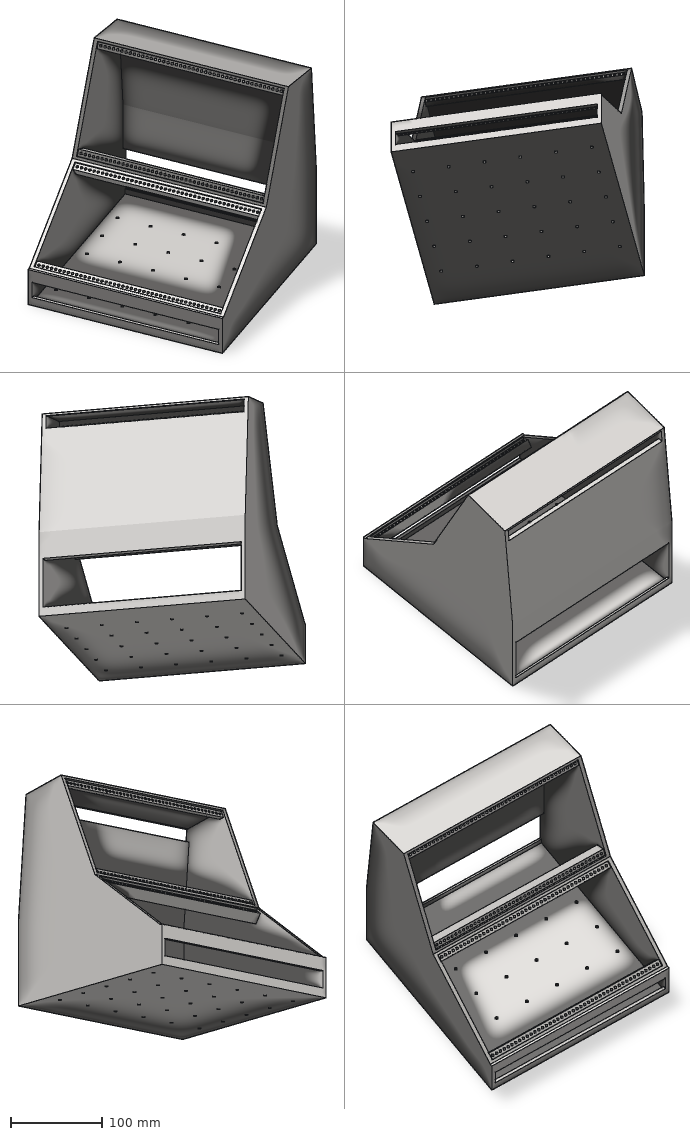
import cadquery as cq
import math

width = 235.2
depth = 245.4
height = 247.5
side_thickness = 4.7
wall = 2.5
inner_width = width - 2 * side_thickness

panel_length = 136.5
lower_angle = 35.0
upper_angle = 65.0
front_ledge = 3.0

top_back_y = 232.5
top_slope = 10.0
back_kink_z = 96.5

base_thickness = 3.7
lower_back_thickness = 8.0
upper_back_thickness = 5.5

lip = 3.2
rail_end = 11.5
rail_depth = 10.0
top_rail_depth = 6.2
middle_rail_depth = 12.9
rail_hole_diameter = 2.7
rail_hole_offset = 7.2
rail_hole_count = 44
rail_hole_span = 218.4

slot_bottom = 10.5
front_slot_top = 30.2
back_slot_top = 66.4
vent_bottom = 219.5

floor_hole_diameter = 3.2
floor_hole_span = 200.0
floor_columns = 6
floor_hole_pitch = floor_hole_span / (floor_columns - 1)
floor_rows = 5
floor_first_y = 35.5


def direction(angle):
    """Unit (y, z) vector rising towards the back at an angle in degrees."""
    return math.cos(math.radians(angle)), math.sin(math.radians(angle))


def along(start, angle, distance):
    """Point in the Y-Z plane at a distance from start along an angle."""
    y_step, z_step = direction(angle)
    return start[0] + distance * y_step, start[1] + distance * z_step


def prism(points, prism_width):
    """Y-Z polygon extruded along X, centred on X = 0."""
    return cq.Workplane("YZ").polyline(points).close().extrude(prism_width / 2, both=True)


def slot(y_min, y_max, z_min, z_max):
    """Rectangular block across the interior width."""
    return prism([(y_min, z_min), (y_max, z_min), (y_max, z_max), (y_min, z_max)], inner_width)


panel_rise = panel_length * (direction(lower_angle)[1] + direction(upper_angle)[1])
lower_start = (front_ledge, height - panel_rise)
knee = along(lower_start, lower_angle, panel_length)
peak = along(knee, upper_angle, panel_length)
top_back_z = height - (top_back_y - peak[0]) * math.tan(math.radians(top_slope))
outline = [
    (0, 0),
    (0, lower_start[1]),
    lower_start,
    knee,
    peak,
    (top_back_y, top_back_z),
    (depth, back_kink_z),
    (depth, 0),
]


def panel_point(start, angle, distance, inset):
    """Point at a distance along a sloped panel, sunk inwards by inset."""
    return along(along(start, angle, distance), angle - 90, inset)


def shell():
    """Hollow case with both sloped panels opened between their lips."""
    cavity = (
        cq.Workplane("YZ").polyline(outline).close().offset2D(-wall, "intersection")
        .extrude(inner_width / 2, both=True)
    )
    body = prism(outline, width).cut(cavity)
    for start, angle in ((lower_start, lower_angle), (knee, upper_angle)):
        opening = [
            panel_point(start, angle, lip, -wall),
            panel_point(start, angle, lip, wall),
            panel_point(start, angle, panel_length / 2, 2 * wall),
            panel_point(start, angle, panel_length - lip, wall),
            panel_point(start, angle, panel_length - lip, -wall),
        ]
        body = body.cut(prism(opening, inner_width))
    return body


def base():
    """Floor and front wall."""
    front_wall = slot(0, base_thickness, 0, lower_start[1])
    return slot(0, depth, 0, base_thickness).union(front_wall)


def back_panel():
    """Panel between the back slot and the vent, upright below and leaning forward above."""
    lean = (depth - top_back_y) / (top_back_z - back_kink_z)
    vent_y = depth - lean * (vent_bottom - back_kink_z)
    upright_y = depth - lower_back_thickness
    inner_vent_y = vent_y - upper_back_thickness
    inner_kink_z = vent_bottom - (upright_y - inner_vent_y) / lean
    return prism(
        [
            (depth, back_slot_top),
            (depth, back_kink_z),
            (vent_y, vent_bottom),
            (inner_vent_y, vent_bottom),
            (upright_y, inner_kink_z),
            (upright_y, back_slot_top),
        ],
        inner_width,
    )


def front_rail():
    return prism(
        [
            panel_point(lower_start, lower_angle, 0, wall),
            panel_point(lower_start, lower_angle, rail_end, wall),
            panel_point(lower_start, lower_angle, rail_end, wall + rail_depth),
            panel_point(lower_start, lower_angle, 0, wall + rail_depth),
        ],
        inner_width,
    )


def middle_rail():
    """Double rail that wraps the knee between the two openings."""
    deep = wall + middle_rail_depth
    return prism(
        [
            panel_point(lower_start, lower_angle, panel_length - rail_end, wall),
            panel_point(lower_start, lower_angle, panel_length, wall),
            knee,
            panel_point(knee, upper_angle, 0, wall),
            panel_point(knee, upper_angle, rail_end, wall),
            panel_point(knee, upper_angle, rail_end, deep),
            panel_point(lower_start, lower_angle, panel_length - rail_end, deep),
        ],
        inner_width,
    )


def top_rail():
    """Rail under the top cover, its underside parallel to the cover."""
    upper = panel_point(knee, upper_angle, panel_length, wall)
    lower = panel_point(knee, upper_angle, panel_length - rail_end, wall)
    upper_back = along(upper, -top_slope, top_rail_depth)
    lower_back = along(lower, -top_slope, top_rail_depth)
    return prism([lower, upper, upper_back, lower_back], inner_width)


def rail_holes(start, angle, distance):
    """Row of screw holes square to a sloped panel."""
    y, z = panel_point(start, angle, distance, wall)
    inward = direction(angle - 90)
    pitch = rail_hole_span / (rail_hole_count - 1)
    holes = [
        cq.Solid.makeCylinder(
            rail_hole_diameter / 2,
            rail_depth,
            cq.Vector(-rail_hole_span / 2 + i * pitch, y, z),
            cq.Vector(0, *inward),
        )
        for i in range(rail_hole_count)
    ]
    return cq.Workplane(obj=cq.Compound.makeCompound(holes))


def floor_holes():
    points = [
        (floor_hole_pitch * (i - (floor_columns - 1) / 2), floor_first_y + floor_hole_pitch * j)
        for i in range(floor_columns)
        for j in range(floor_rows)
    ]
    return cq.Workplane("XY").pushPoints(points).circle(floor_hole_diameter / 2).extrude(base_thickness)


result = shell()
for piece in (base(), front_rail(), middle_rail(), top_rail()):
    result = result.union(piece)

result = result.cut(slot(0, base_thickness, slot_bottom, front_slot_top))
result = result.cut(slot(depth - wall, depth, slot_bottom, back_slot_top))
result = result.cut(slot(top_back_y - 2 * wall, depth, vent_bottom, top_back_z - wall))
result = result.union(back_panel())

result = result.cut(floor_holes())
for panel_start, panel_angle in ((lower_start, lower_angle), (knee, upper_angle)):
    for hole_distance in (rail_hole_offset, panel_length - rail_hole_offset):
        result = result.cut(rail_holes(panel_start, panel_angle, hole_distance))